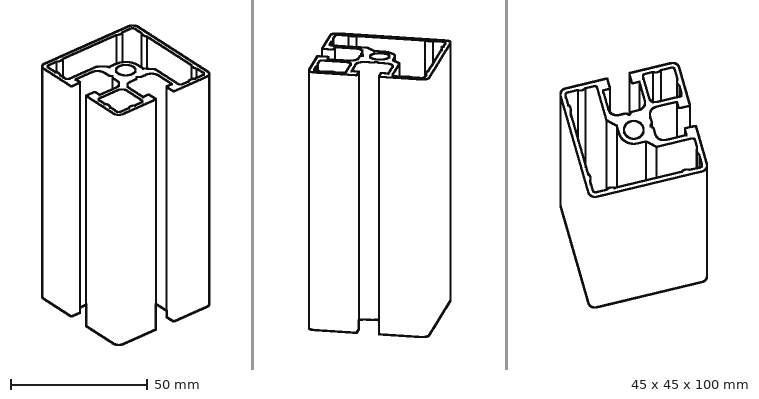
import cadquery as cq

SIDE = 45.0
LENGTH = 100.0
OUTER_RADIUS = 2.5
WALL = 1.8

SLOT_OPENING = 8.3
SLOT_WIDTH = 13.8
LIP_THICKNESS = 4.3
SLOT_FLOOR = 7.2
SLOT_CORNER_RADIUS = 3.2
NOTCH_DEPTH = 1.0
NOTCH_TIP_RADIUS = 0.2
NOTCH_RIM_RADIUS = 0.5
LIP_EDGE_RADIUS = 0.3

CORE_HOLE_DIAMETER = 7.2
CORE_RADIUS = 5.6
CORE_SHOULDER = 3.2

CHAMBER_RADIUS = 1.0
LIP_CORNER_RADIUS = 1.0
CORE_CORNER_RADIUS = 2.2

PAD_OFFSET = 14.3
PAD_WIDTH = 3.0
PAD_HEIGHT = 0.5

HALF_SIDE = SIDE / 2
INNER = HALF_SIDE - WALL
LIP_BACK = HALF_SIDE - LIP_THICKNESS
HALF_OPENING = SLOT_OPENING / 2
SLOT_WALL_OUTER = SLOT_WIDTH / 2 + WALL
WEB_END = CORE_SHOULDER + SLOT_WALL_OUTER - CORE_RADIUS

Z_AXIS_START = (0, 0, 0)
Z_AXIS_END = (0, 0, 1)
SLOT_ANGLES = (0, -90)
SIDE_ANGLES = (0, 90, 180, 270)


def vertical_edge_at(x, y):
    """Selector for the vertical edge whose middle lies at (x, y)."""
    return cq.selectors.NearestToPointSelector((x, y, LENGTH / 2))


def turned(body, angle):
    """Body turned about the Z axis."""
    return body.rotate(Z_AXIS_START, Z_AXIS_END, angle)


def prism(points):
    """Closed polygon extruded over the full length."""
    return cq.Workplane("XY").polyline(points).close().extrude(LENGTH)


def rounded(body, corners, radius):
    """Body with its vertical edges at the given corners filleted."""
    for x, y in corners:
        body = body.edges(vertical_edge_at(x, y)).fillet(radius)
    return body


def make_block():
    """Solid square bar with rounded outer corners."""
    block = cq.Workplane("XY").rect(SIDE, SIDE).extrude(LENGTH)
    return block.edges("|Z").fillet(OUTER_RADIUS)


def make_large_chamber():
    """L-shaped hollow wrapping the core on the -X and +Y sides."""
    wall_corners = [(-INNER, -INNER), (-INNER, INNER), (INNER, INNER)]
    lip_corners = [(INNER, SLOT_WALL_OUTER), (-SLOT_WALL_OUTER, -INNER)]
    chamber = (
        cq.Workplane("XY")
        .polyline(wall_corners)
        .lineTo(INNER, SLOT_WALL_OUTER)
        .lineTo(WEB_END, SLOT_WALL_OUTER)
        .lineTo(CORE_SHOULDER, CORE_RADIUS)
        .lineTo(0, CORE_RADIUS)
        .radiusArc((-CORE_RADIUS, 0), -CORE_RADIUS)
        .lineTo(-CORE_RADIUS, -CORE_SHOULDER)
        .lineTo(-SLOT_WALL_OUTER, -WEB_END)
        .lineTo(-SLOT_WALL_OUTER, -INNER)
        .close()
        .extrude(LENGTH)
    )
    chamber = rounded(chamber, wall_corners, CHAMBER_RADIUS)
    return rounded(chamber, lip_corners, LIP_CORNER_RADIUS)


def make_small_chamber():
    """Square hollow between the two slots."""
    near = SLOT_WALL_OUTER
    chamber = prism([(near, -near), (INNER, -near), (INNER, -INNER), (near, -INNER)])
    chamber = rounded(chamber, [(near, -near)], CORE_CORNER_RADIUS)
    chamber = rounded(chamber, [(INNER, -INNER)], CHAMBER_RADIUS)
    return rounded(chamber, [(INNER, -near), (near, -INNER)], LIP_CORNER_RADIUS)


def make_slot():
    """T-slot open towards +X, with a V notch in its floor."""
    half_width = SLOT_WIDTH / 2
    slot = prism([
        (SLOT_FLOOR, half_width),
        (LIP_BACK, half_width),
        (LIP_BACK, HALF_OPENING),
        (HALF_SIDE, HALF_OPENING),
        (HALF_SIDE, -HALF_OPENING),
        (LIP_BACK, -HALF_OPENING),
        (LIP_BACK, -half_width),
        (SLOT_FLOOR, -half_width),
    ])
    floor_corners = [(SLOT_FLOOR, half_width), (SLOT_FLOOR, -half_width)]
    slot = rounded(slot, floor_corners, SLOT_CORNER_RADIUS)
    notch = prism([
        (SLOT_FLOOR - NOTCH_DEPTH, 0),
        (SLOT_FLOOR, NOTCH_DEPTH),
        (SLOT_FLOOR, -NOTCH_DEPTH),
    ])
    notch = rounded(notch, [(SLOT_FLOOR - NOTCH_DEPTH, 0)], NOTCH_TIP_RADIUS)
    return slot.union(notch)


def round_notch_rims(profile):
    """Soften the edges where both notches meet the slot floors."""
    for side in (NOTCH_DEPTH, -NOTCH_DEPTH):
        edges = [(SLOT_FLOOR, side), (side, -SLOT_FLOOR)]
        profile = rounded(profile, edges, NOTCH_RIM_RADIUS)
    return profile


def round_lip_edges(profile):
    """Soften the lip edges that border both slot openings."""
    for depth in (LIP_BACK, HALF_SIDE):
        for side in (HALF_OPENING, -HALF_OPENING):
            edges = [(depth, side), (side, -depth)]
            profile = rounded(profile, edges, LIP_EDGE_RADIUS)
    return profile


def make_pad(offset):
    """Arched pad on the inner face of the +X wall, rooted in the wall."""
    root = INNER + WALL / 2
    start = offset - PAD_WIDTH / 2
    end = offset + PAD_WIDTH / 2
    return (
        cq.Workplane("XY")
        .moveTo(root, start)
        .lineTo(INNER, start)
        .threePointArc((INNER - PAD_HEIGHT, offset), (INNER, end))
        .lineTo(root, end)
        .close()
        .extrude(LENGTH)
    )


def make_profile():
    """Bar with its chambers, slots, pads and central hole."""
    profile = make_block().cut(make_large_chamber()).cut(make_small_chamber())
    for angle in SLOT_ANGLES:
        profile = profile.cut(turned(make_slot(), angle))
    profile = round_notch_rims(profile)
    profile = round_lip_edges(profile)
    for angle in SIDE_ANGLES:
        for offset in (-PAD_OFFSET, PAD_OFFSET):
            profile = profile.union(turned(make_pad(offset), angle))
    core_hole = cq.Workplane("XY").circle(CORE_HOLE_DIAMETER / 2).extrude(LENGTH)
    return profile.cut(core_hole)


result = make_profile()